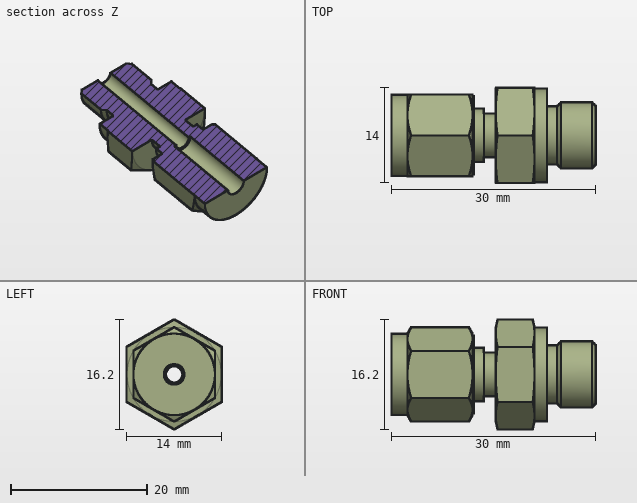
import cadquery as cq
import math

total_length = 30.0
collar_end = 2.35
nut_end = 11.9
nut_lip_end = 12.15
shoulder_end = 13.55
shank_end = 15.3
body_hex_end = 21.0
flange_end = 22.85
relief_end = 24.33

nut_flats = 12.0
nut_chamfer_angle = 30.0
body_hex_flats = 14.0
body_chamfer_angle = 13.0

collar_diameter = 11.97
nut_lip_diameter = 11.5
shoulder_diameter = 7.9
shank_diameter = 6.48
flange_diameter = 13.83
relief_diameter = 8.58
thread_diameter = 9.75

bore_diameter = 2.4
socket_diameter = 3.0
socket_depth = nut_lip_end


def cylinder(start, end, diameter):
    """Round section along X."""
    return cq.Workplane("YZ", origin=(start, 0, 0)).circle(diameter / 2).extrude(end - start)


def chamfered_hex(start, end, flats, angle, face_diameter):
    """Hexagon along X with corners up and down, its corners turned conically at both ends."""
    corner_radius = flats / math.sqrt(3)
    face_radius = face_diameter / 2
    cone_depth = (corner_radius - face_radius) * math.tan(math.radians(angle))
    corners = [
        (corner_radius * math.sin(math.radians(turn)), corner_radius * math.cos(math.radians(turn)))
        for turn in range(0, 360, 60)
    ]
    prism = cq.Workplane("YZ", origin=(start, 0, 0)).polyline(corners).close().extrude(end - start)
    envelope = (
        cq.Workplane("XY")
        .moveTo(start, 0)
        .lineTo(start, face_radius)
        .lineTo(start + cone_depth, corner_radius)
        .lineTo(end - cone_depth, corner_radius)
        .lineTo(end, face_radius)
        .lineTo(end, 0)
        .close()
        .revolve(360, (0, 0, 0), (1, 0, 0))
    )
    return prism.intersect(envelope)


def threaded_end():
    """Plain thread cylinder with a 45 degree chamfer down to the relief diameter at both ends."""
    chamfer = (thread_diameter - relief_diameter) / 2
    return cylinder(relief_end, total_length, thread_diameter).faces("<X or >X").chamfer(chamfer)


nut = (
    cylinder(0, collar_end, collar_diameter)
    .union(chamfered_hex(collar_end, nut_end, nut_flats, nut_chamfer_angle, collar_diameter))
    .union(cylinder(nut_end, nut_lip_end, nut_lip_diameter))
)

body = (
    cylinder(nut_lip_end, shoulder_end, shoulder_diameter)
    .union(cylinder(shoulder_end, shank_end, shank_diameter))
    .union(chamfered_hex(shank_end, body_hex_end, body_hex_flats, body_chamfer_angle, flange_diameter))
    .union(cylinder(body_hex_end, flange_end, flange_diameter))
    .union(cylinder(flange_end, relief_end, relief_diameter))
    .union(threaded_end())
)

result = (
    nut.union(body)
    .cut(cylinder(0, total_length, bore_diameter))
    .cut(cylinder(0, socket_depth, socket_diameter))
)